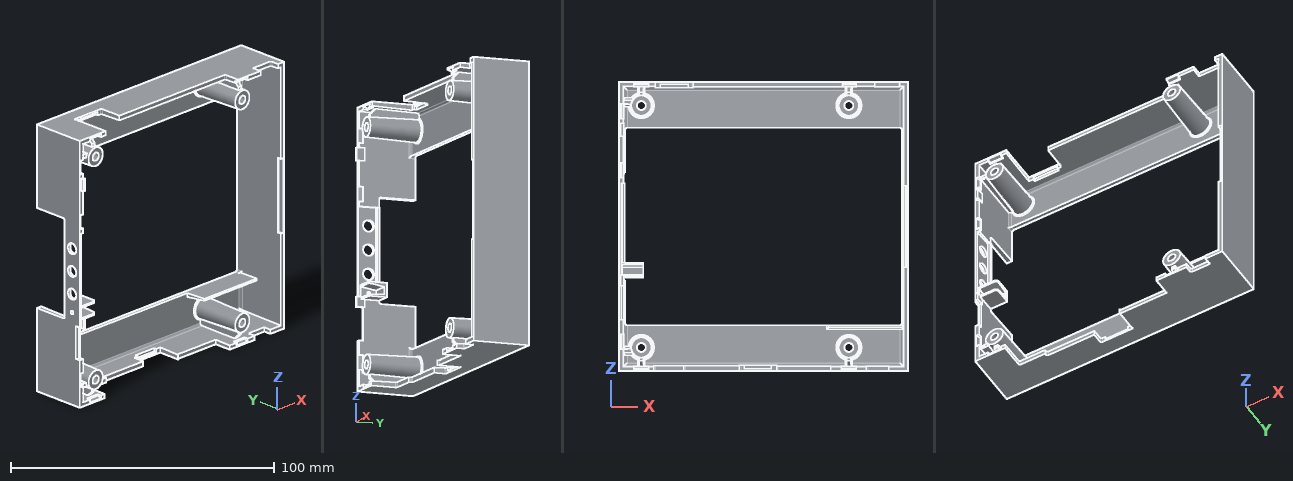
import cadquery as cq

side = 110.0
depth = 23.1
middle = side / 2

rim_wall = 1.8
wall_draft = 1.5
plate = 1.9
floor_y = depth - plate
floor_fillet = 0.9
band_height = 17.5
opening_corner = 0.9
cut_reach = 3.3

boss_xs = (8.6, 87.5)
boss_inset_z = 9.0
boss_front = 0.0
boss_tip_dia = 7.7
boss_base_dia = 8.8
boss_foot = 0.4
boss_bore = 3.3
rib_front = 1.3
rib_tip_width = 1.5
rib_base_width = 2.8
rib_slope_run = 2.2
side_rib_offset = 1.2
side_rib_base_width = 3.5

top_notches = ((13.9, 28.3, 16.6), (28.3, 85.1, 6.9), (97.2, 106.7, 4.0))
bottom_notches = (
    (13.3, 24.8, 10.5),
    (24.8, 45.9, 11.8),
    (45.9, 60.0, 16.6),
    (60.0, 80.6, 7.5),
    (94.0, 102.5, 3.2),
)
notch_corner = 0.5
connector_skin = 0.9
connector_depth = 1.1
top_connector = (15.7, 26.4)
bottom_connector = (47.7, 57.9)

latch_length = 5.7
left_latch_zs = (11.1, 76.3, 98.9)
right_latch_length = 30.8
latch_lip = 0.5
latch_skin = 1.2
latch_depth = 1.6
turn_bottom, turn_left, turn_top, turn_right = 0, 90, 180, -90

window_z = (34.3, 75.6)
window_front = 8.2
window_corner = 0.7
panel_rim_skin = 0.9
panel_root_skin = 1.3
panel_z = (36.5, 71.5)
ledge = 1.1
ledge_reach = 2.3
button_dia = 4.4
button_pitch = 9.4
button_y = 4.2
lamp_dia = 1.3
lamp_z = 38.1

channel_z = (35.5, 41.1)
channel_reach = 9.4
channel_front = 0.8
channel_tip_wall = 0.7
channel_lower_root = 1.1
channel_upper_root = 1.6
channel_web = 1.1
channel_corner = 1.3
tab_x = (0.8, 1.9)
tab_height = 1.0
tab_root = 2.2
tab_spans = ((32.6, 36.5), (89.2, 94.3))
pry_z = (19.6, 33.0)
pry_outer_depth = 2.2
pry_inner_depth = 1.5
pry_slope_run = 1.0

shelf_start = 79.0
shelf_tip_start = 79.8
shelf_front = 12.6
shelf_tip_thickness = 0.8
shelf_root_thickness = 1.8


def block(xs, ys, zs):
    """Box spanning the given (low, high) pairs."""
    size = [high - low for low, high in (xs, ys, zs)]
    return cq.Workplane("XY").box(*size, centered=False).translate((xs[0], ys[0], zs[0]))


def turned(shape, angle):
    """Turn a shape about the frame's centre axis, which runs along Y."""
    return shape.rotate((middle, 0, middle), (middle, 1, middle), angle)


def drafted_hollow(reach):
    """Square hollow that narrows from the rim towards the back."""
    inner = side - 2 * rim_wall
    rim_plane = cq.Plane(origin=(middle, 0, middle), xDir=(1, 0, 0), normal=(0, 1, 0))
    return cq.Workplane(rim_plane).rect(inner, inner).extrude(reach, taper=wall_draft)


def shell():
    body = block((0, side), (0, depth), (0, side))
    cavity = drafted_hollow(floor_y).faces(">Y").edges().fillet(floor_fillet)
    opening = block((0, side), (floor_y - floor_fillet, depth), (band_height, side - band_height))
    opening = opening.intersect(drafted_hollow(depth)).edges("not #Y").fillet(opening_corner)
    return body.cut(cavity).cut(opening)


def boss(x, z):
    profile = [
        (0, boss_front),
        (boss_tip_dia / 2, boss_front),
        (boss_base_dia / 2, floor_y - boss_foot),
        (boss_base_dia / 2 + boss_foot, floor_y),
        (boss_base_dia / 2 + boss_foot, depth),
        (0, depth),
    ]
    cone = cq.Workplane("XY").polyline(profile).close().revolve(360, (0, 0, 0), (0, 1, 0))
    return cone.translate((x, 0, z))


def bore(x, z):
    return cq.Workplane("XZ", origin=(x, 0, z)).circle(boss_bore / 2).extrude(-depth)


def boss_rib(x, angle):
    """Drafted rib joining a boss to the bottom wall, sloping away from the rim at the wall."""
    profile = [
        (-rib_tip_width / 2, rib_front),
        (rib_tip_width / 2, rib_front),
        (rib_base_width / 2, floor_y),
        (-rib_base_width / 2, floor_y),
    ]
    web = cq.Workplane("XY", origin=(x, 0, rim_wall / 2)).polyline(profile).close()
    web = web.extrude(boss_inset_z - rim_wall / 2)
    slope = [
        (rib_front, rim_wall + rib_slope_run),
        (rib_front + rib_slope_run + rim_wall, 0),
        (rib_front, 0),
    ]
    corner = cq.Workplane("YZ", origin=(x, 0, 0)).polyline(slope).close()
    corner = corner.extrude(rib_base_width / 2, both=True)
    return turned(web.cut(corner), angle)


def side_rib(z):
    """Drafted rib joining a left-hand boss to the left wall."""
    profile = [
        (rib_front, z - rib_tip_width / 2),
        (rib_front, z + rib_tip_width / 2),
        (floor_y, z + side_rib_base_width / 2),
        (floor_y, z - side_rib_base_width / 2),
    ]
    web = cq.Workplane("YZ", origin=(rim_wall / 2, 0, 0)).polyline(profile).close()
    return web.extrude(boss_xs[0] - rim_wall / 2)


def notch(start, end, reach, z, rounded_edge):
    """Rim notch through a horizontal wall, with one inner corner rounded."""
    cutter = block((start, end), (0, reach), (z, z + cut_reach))
    return cutter.edges("|Z").edges(">Y").edges(rounded_edge).fillet(notch_corner)


def latch_recess(angle, centre, length):
    """Pocket inside the bottom rim that leaves a thin sloping lip, turned onto its wall."""
    profile = [(0, latch_lip), (latch_depth, latch_skin), (latch_depth, cut_reach), (0, cut_reach)]
    pocket = cq.Workplane("YZ", origin=(centre, 0, 0)).polyline(profile).close()
    return turned(pocket.extrude(length / 2, both=True), angle)


def pry_notch():
    """Notch through the left rim, its floor sloping down to the outside."""
    profile = [
        (0, 0),
        (cut_reach, 0),
        (cut_reach, pry_inner_depth),
        (pry_slope_run, pry_inner_depth),
        (0, pry_outer_depth),
    ]
    pocket = cq.Workplane("XY", origin=(0, 0, pry_z[0])).polyline(profile).close()
    return pocket.extrude(pry_z[1] - pry_z[0])


def side_hole(z, diameter):
    hole = cq.Workplane("YZ", origin=(0, button_y, z))
    return hole.circle(diameter / 2).extrude(cut_reach)


def lamp_channel():
    """Two horizontal plates joined by a web at the back, open towards the rim."""
    xs = (panel_rim_skin, channel_reach)
    channel = block(xs, (channel_front, window_front), channel_z)
    channel = channel.edges("|Z").edges("<Y").edges(">X").fillet(channel_corner)
    low, high = channel_z
    web_y = window_front - channel_web
    profile = [
        (channel_front, low + channel_tip_wall),
        (channel_front, high - channel_tip_wall),
        (web_y, high - channel_upper_root),
        (web_y, low + channel_lower_root),
    ]
    gap = cq.Workplane("YZ", origin=(panel_root_skin, 0, 0)).polyline(profile).close()
    gap = gap.extrude(channel_reach - panel_root_skin)
    return channel.cut(gap)


def panel_pocket():
    """Pocket that thins the left wall around the button holes, with a drafted skin."""
    profile = [
        (panel_rim_skin, 0),
        (cut_reach, 0),
        (cut_reach, window_front),
        (panel_root_skin, window_front),
    ]
    pocket = cq.Workplane("XY", origin=(0, 0, panel_z[0])).polyline(profile).close()
    return pocket.extrude(panel_z[1] - panel_z[0])


def shelf():
    """Shelf standing forward from the lower band, drafted underneath and at its free end."""
    shelf_end = side - rim_wall / 2
    top_outline = [
        (shelf_start, depth),
        (shelf_tip_start, shelf_front),
        (shelf_end, shelf_front),
        (shelf_end, depth),
    ]
    section = [
        (shelf_front, band_height),
        (shelf_front, band_height - shelf_tip_thickness),
        (depth, band_height - shelf_root_thickness),
        (depth, band_height),
    ]
    plan = cq.Workplane("XY").polyline(top_outline).close().extrude(band_height)
    bar = cq.Workplane("YZ").polyline(section).close().extrude(side)
    return plan.intersect(bar)


result = shell()

window = block((0, cut_reach), (window_front, depth), window_z)
window = window.edges("|X").edges("<Y").fillet(window_corner)
result = result.cut(window)
result = result.cut(panel_pocket())
ledge_y = (window_front - ledge, window_front)
result = result.union(block((panel_rim_skin, ledge_reach), ledge_y, panel_z))
result = result.union(lamp_channel())
for row in (-1, 0, 1):
    result = result.cut(side_hole(middle + row * button_pitch, button_dia))
result = result.cut(side_hole(lamp_z, lamp_dia))

for start, end, reach in top_notches:
    result = result.cut(notch(start, end, reach, side - cut_reach, ">X"))
for start, end, reach in bottom_notches:
    result = result.cut(notch(start, end, reach, 0, "<X"))
top_floor = top_notches[0][2]
bottom_floor = bottom_notches[2][2]
result = result.cut(
    block(top_connector, (top_floor, top_floor + connector_depth), (side - cut_reach, side - connector_skin))
)
result = result.cut(
    block(bottom_connector, (bottom_floor, bottom_floor + connector_depth), (connector_skin, cut_reach))
)

for boss_x in boss_xs:
    result = result.union(boss_rib(boss_x, turn_bottom))
    result = result.union(boss_rib(side - boss_x, turn_top))
for rib_z in (boss_inset_z - side_rib_offset, side - boss_inset_z + side_rib_offset):
    result = result.union(side_rib(rib_z))
for boss_x in boss_xs:
    for boss_z in (boss_inset_z, side - boss_inset_z):
        result = result.union(boss(boss_x, boss_z)).cut(bore(boss_x, boss_z))

result = result.union(shelf())

for boss_x in boss_xs:
    result = result.cut(latch_recess(turn_bottom, boss_x, latch_length))
    result = result.cut(latch_recess(turn_top, side - boss_x, latch_length))
for latch_z in left_latch_zs:
    result = result.cut(latch_recess(turn_left, side - latch_z, latch_length))
result = result.cut(latch_recess(turn_right, middle, right_latch_length))

result = result.cut(pry_notch())
for tab_z in tab_spans:
    result = result.union(block(tab_x, (-tab_height, tab_root), tab_z))